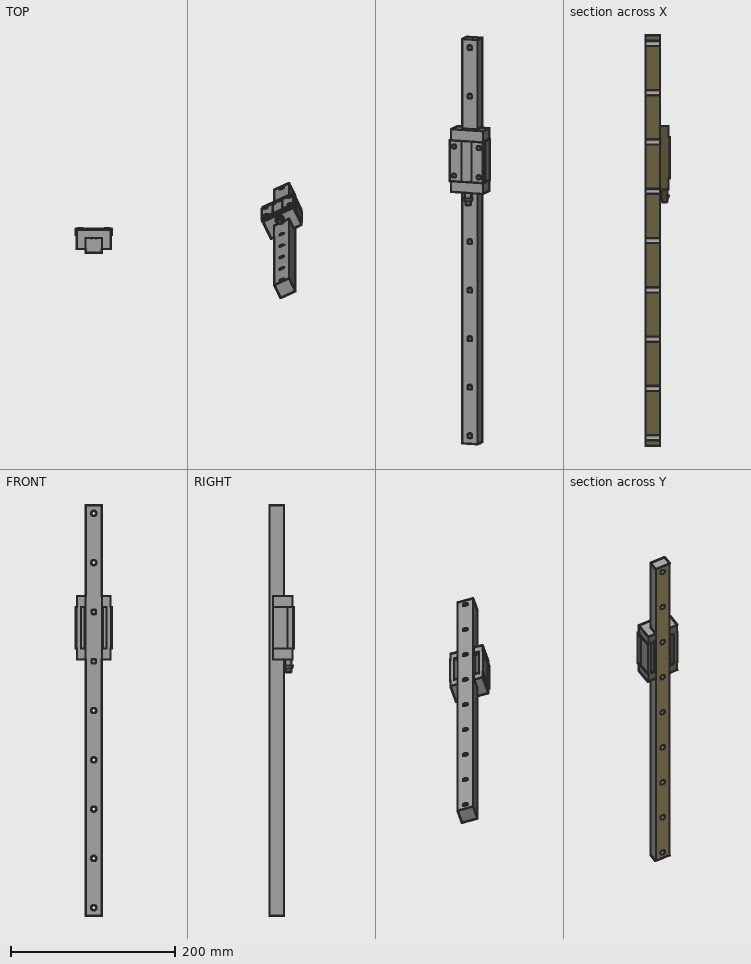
import cadquery as cq

rail_length = 500.0
rail_width = 20.0
rail_height = 18.0
mount_hole_diameter = 6.0
mount_hole_pitch = 60.0
mount_hole_count = 9
first_hole_z = (rail_length - (mount_hole_count - 1) * mount_hole_pitch) / 2

carriage_center_z = 350.8
carriage_length = 77.5
block_length = 50.5
block_width = 43.95
block_top_y = 30.0
carriage_bottom_y = 4.6
side_step_y = 22.0
lower_block_width = 42.3
cap_width = 41.2
cap_top_y = 28.2
recess_width = 31.5
recess_depth = 2.0
channel_width = 22.6
top_edge_chamfer = 1.0
top_groove_width = 13.0
top_groove_depth = 0.5

seat_diameter = 5.0
seat_height = 0.2
seat_spacing_x = 32.0
seat_spacing_z = 36.0

nipple_center_y = 23.3
nipple_stem_radius = 3.8
nipple_stem_length = 7.0
nipple_head_radius = 5.2
nipple_head_end_radius = 3.7
nipple_head_mid_radius = 5.0
nipple_head_length = 4.0
nipple_tip_radius = 3.5
nipple_tip_length = 4.7
nipple_tip_chamfer = 1.2

carriage_bottom_z = carriage_center_z - carriage_length / 2


def centered_bar(width, y_low, y_high, length, z_center):
    """Box centred on X = 0 and on z_center, between two Y levels."""
    return (
        cq.Workplane("XY")
        .box(width, y_high - y_low, length)
        .translate((0, (y_low + y_high) / 2, z_center))
    )


def make_rail():
    """Bar with a row of through holes along Y."""
    bar = centered_bar(rail_width, 0, rail_height, rail_length, rail_length / 2)
    for index in range(mount_hole_count):
        hole_z = first_hole_z + index * mount_hole_pitch
        hole_start = cq.Workplane("XZ", origin=(0, 0, hole_z))
        hole = hole_start.circle(mount_hole_diameter / 2).extrude(-rail_height)
        bar = bar.cut(hole)
    return bar


def make_block():
    """Steel block: wide upper part with a grooved top, narrower legs and a stepped channel."""
    upper = centered_bar(block_width, side_step_y, block_top_y, block_length, carriage_center_z)
    upper = upper.edges(">Y and |Z").chamfer(top_edge_chamfer)
    groove_floor_y = block_top_y - top_groove_depth
    groove = centered_bar(top_groove_width, groove_floor_y, block_top_y, block_length, carriage_center_z)
    lower = centered_bar(lower_block_width, carriage_bottom_y, side_step_y, block_length, carriage_center_z)
    recess_top_y = carriage_bottom_y + recess_depth
    recess = centered_bar(recess_width, carriage_bottom_y, recess_top_y, block_length, carriage_center_z)
    channel = centered_bar(channel_width, carriage_bottom_y, rail_height, block_length, carriage_center_z)
    seats = (
        cq.Workplane("XZ", origin=(0, block_top_y, carriage_center_z))
        .rect(seat_spacing_x, seat_spacing_z, forConstruction=True)
        .vertices()
        .circle(seat_diameter / 2)
        .extrude(-seat_height)
    )
    return upper.union(lower).cut(groove).cut(recess).cut(channel).union(seats)


def make_end_caps():
    """The two end caps, as one bar with the length of the carriage that fits closely over the rail."""
    caps = centered_bar(cap_width, carriage_bottom_y, cap_top_y, carriage_length, carriage_center_z)
    gap = centered_bar(cap_width, carriage_bottom_y, cap_top_y, block_length, carriage_center_z)
    opening = centered_bar(rail_width, carriage_bottom_y, rail_height, carriage_length, carriage_center_z)
    return caps.cut(gap).cut(opening)


def make_nipple():
    """Stem, rounded head and chamfered tip, turned about a line parallel to Z."""
    head_start = -nipple_stem_length
    head_end = head_start - nipple_head_length
    head_middle = (head_start + head_end) / 2
    tip_end = head_end - nipple_tip_length
    return (
        cq.Workplane("XZ")
        .moveTo(0, 0)
        .lineTo(nipple_stem_radius, 0)
        .lineTo(nipple_stem_radius, head_start)
        .lineTo(nipple_head_radius, head_start)
        .threePointArc((nipple_head_mid_radius, head_middle), (nipple_head_end_radius, head_end))
        .lineTo(nipple_tip_radius, head_end)
        .lineTo(nipple_tip_radius, tip_end + nipple_tip_chamfer)
        .lineTo(nipple_tip_radius - nipple_tip_chamfer, tip_end)
        .lineTo(0, tip_end)
        .close()
        .revolve(360, (0, 0, 0), (0, 1, 0))
        .translate((0, nipple_center_y, carriage_bottom_z))
    )


rail = make_rail()
carriage = make_block().union(make_end_caps())
nipple = make_nipple()

result = cq.Compound.makeCompound([rail.val(), carriage.val(), nipple.val()])